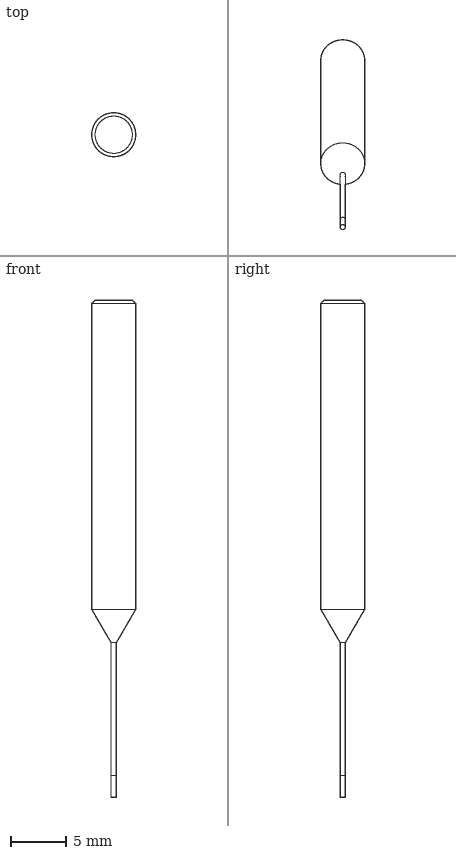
import cadquery as cq

total_length = 45.0
tip_length = 2.0
shank_length = 28.0
cone_length = 3.0

shank_diameter = 4.0
tip_diameter = 0.5
neck_diameter = tip_diameter
shank_chamfer = 0.3

shank_radius = shank_diameter / 2
neck_radius = neck_diameter / 2
tip_radius = tip_diameter / 2
shank_bottom = total_length - shank_length
cone_bottom = shank_bottom - cone_length


def make_holder():
    """Chamfered shank, cone and thin neck, turned as one solid about Z."""
    return (
        cq.Workplane("XZ")
        .moveTo(0, tip_length)
        .lineTo(neck_radius, tip_length)
        .lineTo(neck_radius, cone_bottom)
        .lineTo(shank_radius, shank_bottom)
        .lineTo(shank_radius, total_length - shank_chamfer)
        .lineTo(shank_radius - shank_chamfer, total_length)
        .lineTo(0, total_length)
        .close()
        .revolve(360, (0, 0, 0), (0, 1, 0))
    )


def make_cutting_tip():
    """Plain cylindrical cutting tip that butts against the end of the neck."""
    return cq.Workplane("XY").circle(tip_radius).extrude(tip_length)


holder = make_holder()
cutting_tip = make_cutting_tip()

result = cq.Compound.makeCompound([holder.val(), cutting_tip.val()])